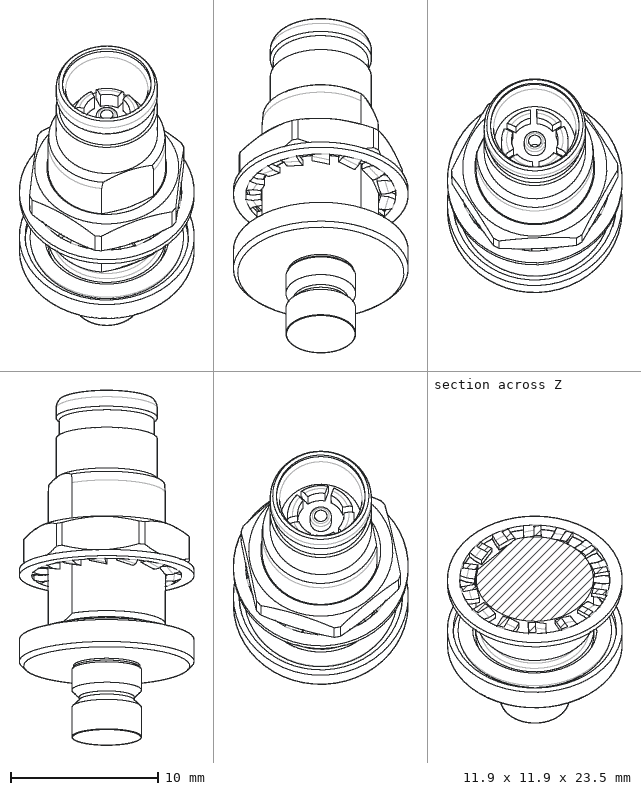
import cadquery as cq
import math

TOTAL_HEIGHT = 23.5

TAIL_RADIUS = 2.37
TAIL_EDGE_CHAMFER = 0.04
TAIL_ROOT_RADIUS = 2.27
TAIL_ROOT_HEIGHT = 0.13
TAIL_CONE_HEIGHT = 0.14
GROOVE_RADIUS = 1.88
GROOVE_LOW_EDGE = 2.1
GROOVE_HIGH_EDGE = 3.3
GROOVE_CONE_HEIGHT = TAIL_RADIUS - GROOVE_RADIUS

FLANGE_RADIUS = 5.95
FLANGE_BOTTOM = 5.0
FLANGE_TOP = 6.83
FLANGE_CHAMFER = 0.3

GLAND_INNER_RADIUS = 4.02
GLAND_OUTER_RADIUS = 5.55
SEAL_MEAN_RADIUS = 4.72
SEAL_SECTION_RADIUS = 0.5
SEAL_CENTER_HEIGHT = 6.72
SEAL_SQUEEZE = 0.05
GLAND_FLOOR = SEAL_CENTER_HEIGHT - SEAL_SECTION_RADIUS + SEAL_SQUEEZE

NECK_RADIUS = 3.45
NECK_FILLET = 0.25
BARREL_RADIUS = 4.0
BARREL_BOTTOM = 7.62
BARREL_CHAMFER_HEIGHT = 0.3
BARREL_CHAMFER_WIDTH = 0.5
BARREL_TOP = 17.05
LEAD_RADIUS = 3.95
LEAD_TOP = 17.67
SHOULDER_HEIGHT = 18.02
FLAT_X = 3.5

SOCKET_RADIUS = 3.45
RETAINING_GROOVE_RADIUS = 3.24
RETAINING_GROOVE_BOTTOM = 20.87
RETAINING_GROOVE_TOP = 22.14
RIM_BOTTOM = 22.34
RIM_ROUND_HEIGHT = 0.5
RIM_ROUND_WIDTH = 0.18
BORE_RADIUS = 2.8
BORE_DEPTH = 4.4
BORE_FLOOR = TOTAL_HEIGHT - BORE_DEPTH
MOUTH_RADIUS = 3.01
MOUTH_DEPTH = 0.26
MOUTH_ROUND_HEIGHT = 0.37

FINGER_INNER_RADIUS = 1.58
FINGER_TIP_RADIUS = 1.92
FINGER_OUTER_RADIUS = 2.27
FINGER_TOP = TOTAL_HEIGHT - 3.15
FINGER_SLOT_WIDTH = 0.43
FINGER_COUNT = 6
CONTACT_RADIUS = 0.72
CONTACT_HOLE_RADIUS = 0.42
CONTACT_ROUND = 0.15
CONTACT_HEIGHT = 1.0
CONTACT_HOLE_DEPTH = 2.0

NUT_BOTTOM = 11.88
NUT_TOP = 14.33
NUT_SIDES = 6
NUT_ACROSS_FLATS = 10.0
NUT_CORNER_RADIUS = 5.65
NUT_FACE_RADIUS = 4.9
NUT_CHAMFER_ANGLE = 30.0
NUT_BORE_RADIUS = 3.53
NUT_COUNTERSINK_RADIUS = 4.08
NUT_COUNTERSINK_ANGLE = 30.0

WASHER_RADIUS = FLANGE_RADIUS
WASHER_TOP = 11.73
WASHER_THICKNESS = 0.43
WASHER_RING_INNER_RADIUS = 5.1
TOOTH_COUNT = 14
TOOTH_WIDTH = 1.2
TOOTH_INNER_RADIUS = 4.05
TOOTH_BEND_RADIUS = 4.6
TOOTH_TWIST_RISE = NUT_BOTTOM - WASHER_TOP


def revolve_profile(profile):
    """Turn a closed (radius, height) profile drawn on XZ about the Z axis."""
    return profile.close().revolve(360, (0, 0, 0), (0, 1, 0))


def turned_housing():
    profile = (
        cq.Workplane("XZ")
        .moveTo(0, 0)
        .lineTo(TAIL_RADIUS - TAIL_EDGE_CHAMFER, 0)
        .lineTo(TAIL_RADIUS, TAIL_EDGE_CHAMFER)
        .lineTo(TAIL_RADIUS, GROOVE_LOW_EDGE)
        .lineTo(GROOVE_RADIUS, GROOVE_LOW_EDGE + GROOVE_CONE_HEIGHT)
        .lineTo(GROOVE_RADIUS, GROOVE_HIGH_EDGE - GROOVE_CONE_HEIGHT)
        .lineTo(TAIL_RADIUS, GROOVE_HIGH_EDGE)
        .lineTo(TAIL_RADIUS, FLANGE_BOTTOM - TAIL_ROOT_HEIGHT - TAIL_CONE_HEIGHT)
        .lineTo(TAIL_ROOT_RADIUS, FLANGE_BOTTOM - TAIL_ROOT_HEIGHT)
        .lineTo(TAIL_ROOT_RADIUS, FLANGE_BOTTOM)
        .lineTo(FLANGE_RADIUS - FLANGE_CHAMFER, FLANGE_BOTTOM)
        .lineTo(FLANGE_RADIUS, FLANGE_BOTTOM + FLANGE_CHAMFER)
        .lineTo(FLANGE_RADIUS, FLANGE_TOP)
        .lineTo(GLAND_OUTER_RADIUS, FLANGE_TOP)
        .lineTo(GLAND_OUTER_RADIUS, GLAND_FLOOR)
        .lineTo(GLAND_INNER_RADIUS, GLAND_FLOOR)
        .lineTo(GLAND_INNER_RADIUS, FLANGE_TOP)
        .lineTo(NECK_RADIUS + NECK_FILLET, FLANGE_TOP)
        .tangentArcPoint((NECK_RADIUS, FLANGE_TOP + NECK_FILLET), relative=False)
        .lineTo(NECK_RADIUS, BARREL_BOTTOM)
        .lineTo(BARREL_RADIUS - BARREL_CHAMFER_WIDTH, BARREL_BOTTOM)
        .lineTo(BARREL_RADIUS, BARREL_BOTTOM + BARREL_CHAMFER_HEIGHT)
        .lineTo(BARREL_RADIUS, BARREL_TOP)
        .lineTo(LEAD_RADIUS, LEAD_TOP)
        .lineTo(SOCKET_RADIUS, SHOULDER_HEIGHT)
        .lineTo(SOCKET_RADIUS, RETAINING_GROOVE_BOTTOM)
        .lineTo(RETAINING_GROOVE_RADIUS, RETAINING_GROOVE_BOTTOM)
        .lineTo(RETAINING_GROOVE_RADIUS, RETAINING_GROOVE_TOP)
        .lineTo(SOCKET_RADIUS, RIM_BOTTOM)
        .lineTo(SOCKET_RADIUS, TOTAL_HEIGHT - RIM_ROUND_HEIGHT)
        .tangentArcPoint((SOCKET_RADIUS - RIM_ROUND_WIDTH, TOTAL_HEIGHT), relative=False)
        .lineTo(0, TOTAL_HEIGHT)
    )
    return revolve_profile(profile)


def socket_bore():
    """Bore that opens over a rounded shoulder into a slightly wider mouth."""
    mouth_bottom = TOTAL_HEIGHT - MOUTH_DEPTH
    profile = (
        cq.Workplane("XZ")
        .moveTo(0, BORE_FLOOR)
        .lineTo(BORE_RADIUS, BORE_FLOOR)
        .lineTo(BORE_RADIUS, mouth_bottom - MOUTH_ROUND_HEIGHT)
        .tangentArcPoint((MOUTH_RADIUS, mouth_bottom), relative=False)
        .lineTo(MOUTH_RADIUS, TOTAL_HEIGHT)
        .lineTo(0, TOTAL_HEIGHT)
    )
    return revolve_profile(profile)


def barrel_flat():
    height = SHOULDER_HEIGHT - BARREL_BOTTOM
    return (
        cq.Workplane("XY")
        .box(BARREL_RADIUS, 2 * BARREL_RADIUS, height, centered=(False, True, False))
        .translate((FLAT_X, 0, BARREL_BOTTOM))
    )


def seal_ring():
    return (
        cq.Workplane("XZ")
        .center(SEAL_MEAN_RADIUS, SEAL_CENTER_HEIGHT)
        .circle(SEAL_SECTION_RADIUS)
        .revolve(360, (-SEAL_MEAN_RADIUS, 0, 0), (-SEAL_MEAN_RADIUS, 1, 0))
    )


def finger_ring():
    tip_round = FINGER_OUTER_RADIUS - FINGER_TIP_RADIUS
    ring = revolve_profile(
        cq.Workplane("XZ")
        .moveTo(FINGER_INNER_RADIUS, BORE_FLOOR)
        .lineTo(FINGER_OUTER_RADIUS, BORE_FLOOR)
        .lineTo(FINGER_OUTER_RADIUS, FINGER_TOP - tip_round)
        .tangentArcPoint((FINGER_TIP_RADIUS, FINGER_TOP), relative=False)
        .lineTo(FINGER_INNER_RADIUS, FINGER_TOP)
    )
    slot = (
        cq.Workplane("XY")
        .box(2 * FINGER_OUTER_RADIUS, FINGER_SLOT_WIDTH, BORE_DEPTH, centered=(True, True, False))
        .translate((0, 0, BORE_FLOOR))
    )
    slots_across = FINGER_COUNT // 2
    for i in range(slots_across):
        ring = ring.cut(slot.rotate((0, 0, 0), (0, 0, 1), i * 180 / slots_across))
    return ring


def center_contact():
    return (
        cq.Workplane("XY")
        .workplane(offset=BORE_FLOOR)
        .circle(CONTACT_RADIUS)
        .extrude(CONTACT_HEIGHT)
        .faces(">Z")
        .fillet(CONTACT_ROUND)
    )


def contact_hole():
    top = BORE_FLOOR + CONTACT_HEIGHT
    return (
        cq.Workplane("XY")
        .workplane(offset=top)
        .circle(CONTACT_HOLE_RADIUS)
        .extrude(-CONTACT_HOLE_DEPTH)
    )


def make_housing():
    body = turned_housing().cut(barrel_flat()).cut(socket_bore())
    body = body.union(seal_ring()).union(finger_ring()).union(center_contact())
    return body.cut(contact_hole())


def make_nut(housing):
    """Hex nut whose narrow bore is opened to fit the barrel, reaching inward over the barrel flat."""
    height = NUT_TOP - NUT_BOTTOM
    half_side_angle = 180 / NUT_SIDES
    hexagon_diameter = NUT_ACROSS_FLATS / math.cos(math.radians(half_side_angle))
    hexagon = (
        cq.Workplane("XY")
        .workplane(offset=NUT_BOTTOM)
        .polygon(NUT_SIDES, hexagon_diameter)
        .extrude(height)
        .rotate((0, 0, 0), (0, 0, 1), half_side_angle)
    )
    chamfer_drop = (NUT_CORNER_RADIUS - NUT_FACE_RADIUS) * math.tan(math.radians(NUT_CHAMFER_ANGLE))
    countersink_width = NUT_COUNTERSINK_RADIUS - NUT_BORE_RADIUS
    countersink_depth = countersink_width * math.tan(math.radians(NUT_COUNTERSINK_ANGLE))
    envelope = revolve_profile(
        cq.Workplane("XZ")
        .moveTo(NUT_COUNTERSINK_RADIUS, NUT_BOTTOM)
        .lineTo(NUT_FACE_RADIUS, NUT_BOTTOM)
        .lineTo(NUT_CORNER_RADIUS, NUT_BOTTOM + chamfer_drop)
        .lineTo(NUT_CORNER_RADIUS, NUT_TOP - chamfer_drop)
        .lineTo(NUT_FACE_RADIUS, NUT_TOP)
        .lineTo(NUT_COUNTERSINK_RADIUS, NUT_TOP)
        .lineTo(NUT_BORE_RADIUS, NUT_TOP - countersink_depth)
        .lineTo(NUT_BORE_RADIUS, NUT_BOTTOM + countersink_depth)
    )
    return hexagon.intersect(envelope).cut(housing)


def tooth_section(radius, twist_rise):
    """Cross-section of a tooth at a given radius, with one edge raised and the other lowered."""
    half = TOOTH_WIDTH / 2
    bottom = WASHER_TOP - WASHER_THICKNESS
    corners = [
        (radius, -half, WASHER_TOP + twist_rise),
        (radius, half, WASHER_TOP - twist_rise),
        (radius, half, bottom - twist_rise),
        (radius, -half, bottom + twist_rise),
    ]
    return cq.Wire.makePolygon([cq.Vector(*corner) for corner in corners], close=True)


def washer_tooth():
    """One tooth pointing inward at +X: a twisted tip that flattens out toward the ring."""
    tip_end = tooth_section(TOOTH_INNER_RADIUS, TOOTH_TWIST_RISE)
    tip_start = tooth_section(TOOTH_BEND_RADIUS, TOOTH_TWIST_RISE)
    root = tooth_section(WASHER_RING_INNER_RADIUS, 0)
    tip = cq.Solid.makeLoft([tip_end, tip_start], True)
    bend = cq.Solid.makeLoft([tip_start, root], True)
    return cq.Workplane(tip).union(cq.Workplane(bend))


def make_washer():
    bottom = WASHER_TOP - WASHER_THICKNESS
    washer = (
        cq.Workplane("XY")
        .workplane(offset=bottom)
        .circle(WASHER_RADIUS)
        .circle(WASHER_RING_INNER_RADIUS)
        .extrude(WASHER_THICKNESS)
    )
    tooth = washer_tooth()
    half_tooth_angle = math.degrees(math.asin(TOOTH_WIDTH / 2 / TOOTH_BEND_RADIUS))
    first_angle = -90 - half_tooth_angle
    for i in range(TOOTH_COUNT):
        washer = washer.union(tooth.rotate((0, 0, 0), (0, 0, 1), first_angle + i * 360 / TOOTH_COUNT))
    return washer


housing = make_housing()
nut = make_nut(housing)
washer = make_washer()

result = cq.Compound.makeCompound([housing.val(), nut.val(), washer.val()])